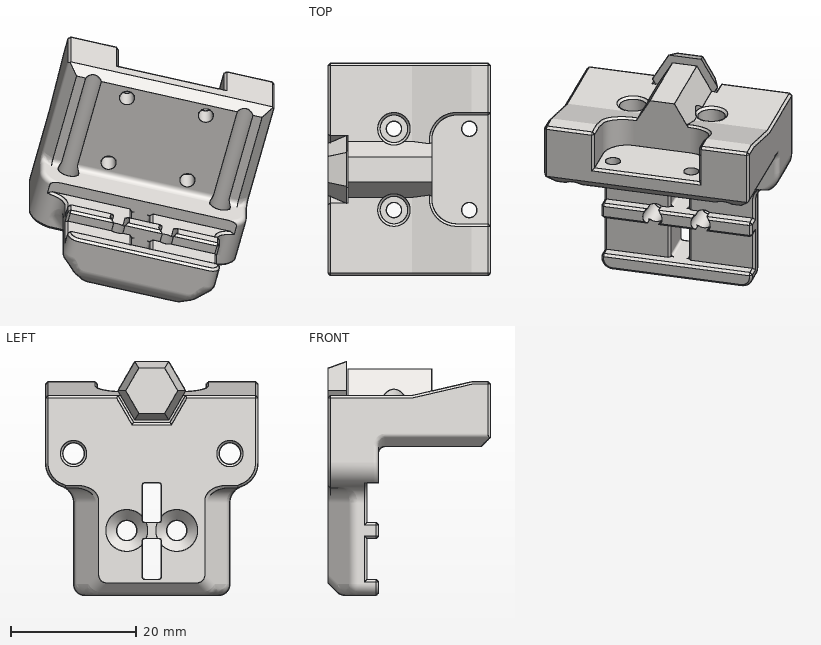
import cadquery as cq
import math

OVERALL_LENGTH = 26.0
OVERALL_WIDTH = 34.0
HALF_WIDTH = OVERALL_WIDTH / 2
EDGE_CHAMFER = 0.4
TOLERANCE = 0.05
MARGIN = 1.0

PLATE_DEPTH = 8.1
LEG_DEPTH = 6.25
LEG_HALF_WIDTH = 12.5
SHOULDER_STEP_Z = 18.0
SHOULDER_RADIUS = 4.0
SHOULDER_CENTER_Z = 21.2
NECK_RADIUS = 2.8
NECK_CENTER_Z = 14.8
BACK_START_X = 5.5
LEG_SIDE_BEVEL = 4.0
LEG_BOTTOM_BEVEL = 2.0
LEG_CORNER_RADIUS = 1.8
BEVEL_CORNER_RADIUS = 2.0
BACK_EDGE_RADIUS = 0.8

LOWER_RIB_TOP_Z = 2.6
MIDDLE_RIB_BOTTOM_Z = 9.1
MIDDLE_RIB_TOP_Z = 11.7

DECK_Z = 32.0
WING_Z = 34.2
SLOPE_START_X = 13.5
SLOPE_END_X = 23.0
ARM_BOTTOM_Z = 23.8
ARM_ROOT_Z = 22.0
ARM_FILLET = 1.0
ARM_SIDE_BEVEL = 1.7
ARM_END_BEVEL = 1.5

POCKET_START_X = 16.6
POCKET_HALF_WIDTH = 8.7
POCKET_RADIUS = 4.0
POCKET_FLOOR_Z = 27.75

HEX_CENTER_Z = 32.75
PLUG_FLATS = 9.4
PLUG_LENGTH = 3.0
PLUG_TAPER = 20.0
SEAT_FLATS = 10.1
SEAT_DEPTH = 3.2
HEX_SLOPE = math.sqrt(3)

RIDGE_TOP_Z = 36.25
RIDGE_TOP_HALF_WIDTH = 2.02

ARM_HOLE_DIA = 2.4
FRONT_ARM_HOLE_X = 10.55
REAR_ARM_HOLE_X = 22.6
ARM_HOLE_Y = 6.5
COUNTERBORE_DIA = 4.4
COUNTERBORE_DEPTH = 4.0
SHOULDER_HOLE_DIA = 3.4
SHOULDER_HOLE_Y = 12.5
SHOULDER_HOLE_Z = 22.7
LEG_HOLE_DIA = 3.2
LEG_HOLE_Y = 4.0
LEG_HOLE_Z = (MIDDLE_RIB_BOTTOM_Z + MIDDLE_RIB_TOP_Z) / 2
COUNTERSINK_DIA = 6.7
SLOT_WIDTH = 3.0
SLOT_CORNER_RADIUS = 0.4

SIDES = (-1, 1)


def block(x, y, z):
    """Box given by its (min, max) range along each axis."""
    size = [high - low for low, high in (x, y, z)]
    return cq.Workplane("XY").box(*size, centered=False).translate((x[0], y[0], z[0]))


def edge_box(x, y, z):
    """Selector for edges whose centre lies in the given ranges."""
    return cq.selectors.BoxSelector((x[0], y[0], z[0]), (x[1], y[1], z[1]))


def upright_plate():
    """Shoulder and leg, joined by an S-shaped pair of tangent arcs on each side."""
    shoulder_y = HALF_WIDTH - SHOULDER_RADIUS
    center_drop = SHOULDER_CENTER_Z - NECK_CENTER_Z
    center_gap = SHOULDER_RADIUS + NECK_RADIUS
    neck_y = shoulder_y + math.sqrt(center_gap**2 - center_drop**2)
    leg_y = neck_y - NECK_RADIUS
    tangent_angle = math.asin(center_drop / center_gap)

    def on_shoulder(angle):
        return (shoulder_y + SHOULDER_RADIUS * math.cos(angle),
                SHOULDER_CENTER_Z - SHOULDER_RADIUS * math.sin(angle))

    def on_neck(angle):
        return (neck_y - NECK_RADIUS * math.cos(angle),
                NECK_CENTER_Z + NECK_RADIUS * math.sin(angle))

    half = (
        cq.Workplane("YZ")
        .moveTo(0, DECK_Z)
        .lineTo(HALF_WIDTH, DECK_Z)
        .lineTo(HALF_WIDTH, SHOULDER_CENTER_Z)
        .threePointArc(on_shoulder(tangent_angle / 2), on_shoulder(tangent_angle))
        .threePointArc(on_neck(tangent_angle / 2), (leg_y, NECK_CENTER_Z))
        .lineTo(leg_y, 0)
        .lineTo(0, 0)
        .close()
        .extrude(PLATE_DEPTH)
    )
    return half.union(half.mirror("XZ"))


def arm_profile(y, bottom_z):
    """Side profile of the arm at a given Y, with its underside at bottom_z."""
    arc_mid = (PLATE_DEPTH + ARM_FILLET * (1 - math.sqrt(0.5)),
               bottom_z - ARM_FILLET * (1 - math.sqrt(0.5)))
    return (
        cq.Workplane("XZ", origin=(0, y, 0))
        .moveTo(0, ARM_ROOT_Z)
        .lineTo(PLATE_DEPTH, ARM_ROOT_Z)
        .lineTo(PLATE_DEPTH, bottom_z - ARM_FILLET)
        .threePointArc(arc_mid, (PLATE_DEPTH + ARM_FILLET, bottom_z))
        .lineTo(OVERALL_LENGTH, bottom_z)
        .lineTo(OVERALL_LENGTH, WING_Z)
        .lineTo(SLOPE_END_X, WING_Z)
        .lineTo(SLOPE_START_X, DECK_Z)
        .lineTo(0, DECK_Z)
        .close()
    )


def arm():
    """Arm with beveled lower side edges and a beveled lower end."""
    inner_y = HALF_WIDTH - ARM_SIDE_BEVEL
    body = arm_profile(inner_y, ARM_BOTTOM_Z).extrude(2 * inner_y)
    for side in SIDES:
        wires = [
            arm_profile(side * inner_y, ARM_BOTTOM_Z).wires().val(),
            arm_profile(side * HALF_WIDTH, ARM_BOTTOM_Z + ARM_SIDE_BEVEL).wires().val(),
        ]
        body = body.union(cq.Workplane(cq.Solid.makeLoft(wires, True)))
    end_bevel = (
        cq.Workplane("XZ", origin=(0, HALF_WIDTH + MARGIN, 0))
        .moveTo(OVERALL_LENGTH - ARM_END_BEVEL - MARGIN, ARM_BOTTOM_Z - MARGIN)
        .lineTo(OVERALL_LENGTH + MARGIN, ARM_BOTTOM_Z + ARM_END_BEVEL + MARGIN)
        .lineTo(OVERALL_LENGTH + MARGIN, ARM_BOTTOM_Z - MARGIN)
        .close()
        .extrude(OVERALL_WIDTH + 2 * MARGIN)
    )
    return body.cut(end_bevel)


def back_recesses():
    """Full-width recesses that leave two ribs on the back of the leg."""
    depth = (LEG_DEPTH, PLATE_DEPTH + MARGIN)
    width = (-HALF_WIDTH - MARGIN, HALF_WIDTH + MARGIN)
    upper = block(depth, width, (MIDDLE_RIB_TOP_Z, SHOULDER_STEP_Z))
    lower = block(depth, width, (LOWER_RIB_TOP_Z, MIDDLE_RIB_BOTTOM_Z))
    return upper.add(lower).combine()


def leg_side_bevel(side):
    """Cutter for one front side edge of the leg, rounded where it meets the shoulder."""
    start_y = LEG_HALF_WIDTH - LEG_SIDE_BEVEL
    reach = LEG_SIDE_BEVEL + 3 * MARGIN
    top_z = SHOULDER_CENTER_Z - SHOULDER_RADIUS
    cutter = (
        cq.Workplane("XY", origin=(0, 0, -MARGIN))
        .moveTo(-MARGIN, start_y - MARGIN)
        .lineTo(reach, start_y + reach)
        .lineTo(-MARGIN, start_y + reach)
        .close()
        .extrude(top_z + MARGIN)
    )
    mid = (reach - MARGIN) / 2
    near = cq.selectors.NearestToPointSelector((mid, start_y + mid, top_z))
    cutter = cutter.edges(near).fillet(top_z - NECK_CENTER_Z)
    return cutter if side > 0 else cutter.mirror("XZ")


def neck_front_chamfer(side):
    """Cutter that breaks the front edge of the neck and fades out down the leg."""
    ahead = block((-2 * MARGIN, 0), (-OVERALL_WIDTH, OVERALL_WIDTH), (-OVERALL_LENGTH, OVERALL_LENGTH))
    outline = leg_side_bevel(side).cut(ahead).faces("<X").wires().val()
    raised = outline.translate(cq.Vector(0, 0, EDGE_CHAMFER))
    sweep = cq.Vector(EDGE_CHAMFER, side * EDGE_CHAMFER, -EDGE_CHAMFER)
    return cq.Workplane(cq.Solid.extrudeLinear(raised, [], sweep))


def leg_bottom_bevel():
    """Cutter for the front bottom edge of the leg."""
    return (
        cq.Workplane("XZ", origin=(0, HALF_WIDTH, 0))
        .moveTo(-MARGIN, LEG_BOTTOM_BEVEL + MARGIN)
        .lineTo(LEG_BOTTOM_BEVEL + MARGIN, -MARGIN)
        .lineTo(-MARGIN, -MARGIN)
        .close()
        .extrude(OVERALL_WIDTH)
    )


def wing_pocket():
    """Round-cornered pocket, open at the rear end of the arm."""
    return (
        block(
            (POCKET_START_X, OVERALL_LENGTH + MARGIN),
            (-POCKET_HALF_WIDTH, POCKET_HALF_WIDTH),
            (POCKET_FLOOR_Z, WING_Z + MARGIN),
        )
        .edges("|Z and <X")
        .fillet(POCKET_RADIUS)
    )


def ridge():
    """Flat-topped ridge with 60-degree flanks, from the plug seat to the pocket."""
    base_half_width = RIDGE_TOP_HALF_WIDTH + (RIDGE_TOP_Z - DECK_Z) / HEX_SLOPE
    return (
        cq.Workplane("YZ", origin=(SEAT_DEPTH, 0, 0))
        .moveTo(-RIDGE_TOP_HALF_WIDTH, RIDGE_TOP_Z)
        .lineTo(RIDGE_TOP_HALF_WIDTH, RIDGE_TOP_Z)
        .lineTo(base_half_width, DECK_Z)
        .lineTo(base_half_width, POCKET_FLOOR_Z)
        .lineTo(-base_half_width, POCKET_FLOOR_Z)
        .lineTo(-base_half_width, DECK_Z)
        .close()
        .extrude(POCKET_START_X - SEAT_DEPTH)
    )


def hexagon(x, across_flats):
    """Hexagon sketch facing along X, with flats at its top and bottom."""
    return cq.Workplane("YZ", origin=(x, 0, HEX_CENTER_Z)).polygon(6, across_flats * 2 / HEX_SLOPE)


def cut_front_holes(body):
    """Shoulder holes that run on below the arm, and countersunk holes in the leg."""
    front = cq.Workplane("YZ")
    shoulder_points = [(side * SHOULDER_HOLE_Y, SHOULDER_HOLE_Z) for side in SIDES]
    leg_points = [(side * LEG_HOLE_Y, LEG_HOLE_Z) for side in SIDES]
    shoulder_rim = SHOULDER_HOLE_DIA / 2 + EDGE_CHAMFER
    for y, z in shoulder_points:
        rim = cq.Solid.makeCone(shoulder_rim, SHOULDER_HOLE_DIA / 2, EDGE_CHAMFER,
                                cq.Vector(0, y, z), cq.Vector(1, 0, 0))
        body = body.cut(cq.Workplane(rim))
    sink_depth = (COUNTERSINK_DIA - LEG_HOLE_DIA) / 2
    for y, z in leg_points:
        sink = cq.Solid.makeCone(COUNTERSINK_DIA / 2, LEG_HOLE_DIA / 2, sink_depth,
                                 cq.Vector(0, y, z), cq.Vector(1, 0, 0))
        body = body.cut(cq.Workplane(sink))
    body = body.cut(front.pushPoints(shoulder_points).circle(SHOULDER_HOLE_DIA / 2).extrude(OVERALL_LENGTH))
    body = body.cut(front.pushPoints(leg_points).circle(LEG_HOLE_DIA / 2).extrude(PLATE_DEPTH))
    return body


def cut_slots(body):
    """Two slots between the ribs, with broken long edges at the back of the leg."""
    half_width = SLOT_WIDTH / 2
    for bottom, top in ((LOWER_RIB_TOP_Z, MIDDLE_RIB_BOTTOM_Z), (MIDDLE_RIB_TOP_Z, SHOULDER_STEP_Z)):
        slot = block((-MARGIN, PLATE_DEPTH), (-half_width, half_width), (bottom, top))
        back_flare = (
            cq.Workplane("XY", origin=(0, 0, bottom))
            .moveTo(LEG_DEPTH - EDGE_CHAMFER, -half_width)
            .lineTo(LEG_DEPTH, -half_width - EDGE_CHAMFER)
            .lineTo(LEG_DEPTH, half_width + EDGE_CHAMFER)
            .lineTo(LEG_DEPTH - EDGE_CHAMFER, half_width)
            .close()
            .extrude(top - bottom)
        )
        body = body.cut(slot.edges("|X").fillet(SLOT_CORNER_RADIUS)).cut(back_flare)
    return body


def cut_arm_holes(body):
    """Four vertical holes; the front pair is counterbored from the deck."""
    floor = cq.Workplane("XY")
    front_points = [(FRONT_ARM_HOLE_X, side * ARM_HOLE_Y) for side in SIDES]
    rear_points = [(REAR_ARM_HOLE_X, side * ARM_HOLE_Y) for side in SIDES]
    holes = floor.pushPoints(front_points + rear_points).circle(ARM_HOLE_DIA / 2).extrude(RIDGE_TOP_Z)
    body = body.cut(holes)
    rim_radius = COUNTERBORE_DIA / 2 + EDGE_CHAMFER
    bore_profile = (
        cq.Workplane("XZ")
        .moveTo(0, DECK_Z - COUNTERBORE_DEPTH)
        .lineTo(COUNTERBORE_DIA / 2, DECK_Z - COUNTERBORE_DEPTH)
        .lineTo(COUNTERBORE_DIA / 2, DECK_Z - EDGE_CHAMFER)
        .lineTo(rim_radius, DECK_Z)
        .lineTo(rim_radius, RIDGE_TOP_Z)
        .lineTo(0, RIDGE_TOP_Z)
        .close()
    )
    bore = bore_profile.revolve(360, (0, 0, 0), (0, 1, 0))
    for x, y in front_points:
        body = body.cut(bore.translate((x, y, 0)))
    return body


def break_edges(body):
    """Chamfer the front outline, the rear end, the upper side edges and the pocket rim."""
    full_length = (-MARGIN, OVERALL_LENGTH + MARGIN)
    full_width = (-HALF_WIDTH - MARGIN, HALF_WIDTH + MARGIN)
    upper = (DECK_Z - TOLERANCE, WING_Z + TOLERANCE)
    front = edge_box((-TOLERANCE, TOLERANCE), full_width, (SHOULDER_STEP_Z, WING_Z))
    rear_bottom_z = ARM_BOTTOM_Z + ARM_SIDE_BEVEL + BACK_EDGE_RADIUS
    rear_x = (OVERALL_LENGTH - TOLERANCE, OVERALL_LENGTH + TOLERANCE)
    rear = edge_box(rear_x, full_width, (rear_bottom_z, WING_Z + TOLERANCE))
    left = edge_box(full_length, (-HALF_WIDTH - TOLERANCE, -HALF_WIDTH + TOLERANCE), upper)
    right = edge_box(full_length, (HALF_WIDTH - TOLERANCE, HALF_WIDTH + TOLERANCE), upper)
    rim_y = POCKET_HALF_WIDTH + TOLERANCE
    rim = edge_box((POCKET_START_X - TOLERANCE, OVERALL_LENGTH), (-rim_y, rim_y), upper)
    return body.edges(front + rear + left + right + rim).chamfer(EDGE_CHAMFER)


def shape_leg(body):
    """Recess the back of the leg, bevel its front and round its outer edges."""
    near = cq.selectors.NearestToPointSelector
    body = body.cut(back_recesses()).cut(leg_bottom_bevel())
    for side in SIDES:
        body = body.cut(leg_side_bevel(side))
    bevel_start_y = LEG_HALF_WIDTH - LEG_SIDE_BEVEL
    half_bevel = LEG_BOTTOM_BEVEL / 2
    for side in SIDES:
        miter = near((half_bevel, side * (bevel_start_y + half_bevel), half_bevel))
        body = body.edges(miter).fillet(BEVEL_CORNER_RADIUS)
    outer_edges = near((LEG_BOTTOM_BEVEL, 0, 0))
    for side in SIDES:
        outer_edges += near((LEG_SIDE_BEVEL, side * LEG_HALF_WIDTH, 0))
        outer_edges += near((LEG_SIDE_BEVEL, side * LEG_HALF_WIDTH, NECK_CENTER_Z / 2))
        outer_edges += near((LEG_DEPTH, side * LEG_HALF_WIDTH, 0))
    body = body.edges(outer_edges).fillet(LEG_CORNER_RADIUS)
    for side in SIDES:
        body = body.cut(neck_front_chamfer(side))
    return body


def break_leg_back_edges(body):
    """Chamfer the rib tips and the side edges of the recesses on the back of the leg."""
    tip_x = (PLATE_DEPTH - TOLERANCE, PLATE_DEPTH + TOLERANCE)
    back_x = (LEG_DEPTH - TOLERANCE, PLATE_DEPTH - TOLERANCE)
    full_width = (-HALF_WIDTH, HALF_WIDTH)
    height = (-TOLERANCE, SHOULDER_STEP_Z - TOLERANCE)
    back_edges = edge_box(tip_x, full_width, height)
    for side in SIDES:
        side_y = sorted((side * (LEG_HALF_WIDTH - TOLERANCE), side * HALF_WIDTH))
        back_edges += edge_box(back_x, side_y, height)
    return body.edges(back_edges).chamfer(EDGE_CHAMFER)


def round_back_edges(body):
    """Round the edges that run from under the arm down the back of the shoulder."""
    for side in SIDES:
        back_edge = (PLATE_DEPTH, side * HALF_WIDTH, (SHOULDER_CENTER_Z + ARM_BOTTOM_Z) / 2)
        body = body.edges(cq.selectors.NearestToPointSelector(back_edge)).fillet(BACK_EDGE_RADIUS)
    return body


def make_housing():
    plate = upright_plate()
    seat = hexagon(-MARGIN, SEAT_FLATS).extrude(SEAT_DEPTH + MARGIN)
    body = plate.union(arm()).clean().cut(wing_pocket()).cut(seat)
    body = round_back_edges(break_edges(body))
    full_width = (-HALF_WIDTH, HALF_WIDTH)
    leg_back = block((BACK_START_X, PLATE_DEPTH), full_width, (0, SHOULDER_STEP_Z))
    body = body.union(plate.intersect(leg_back)).clean()
    body = break_leg_back_edges(shape_leg(body))
    body = body.union(ridge())
    body = cut_slots(cut_front_holes(body))
    return cut_arm_holes(body)


def make_plug():
    """Hexagonal plug that tapers toward its exposed front face."""
    return hexagon(PLUG_LENGTH, PLUG_FLATS).extrude(-PLUG_LENGTH, taper=PLUG_TAPER)


housing = make_housing()
plug = make_plug()
result = cq.Compound.makeCompound([housing.val(), plug.val()])